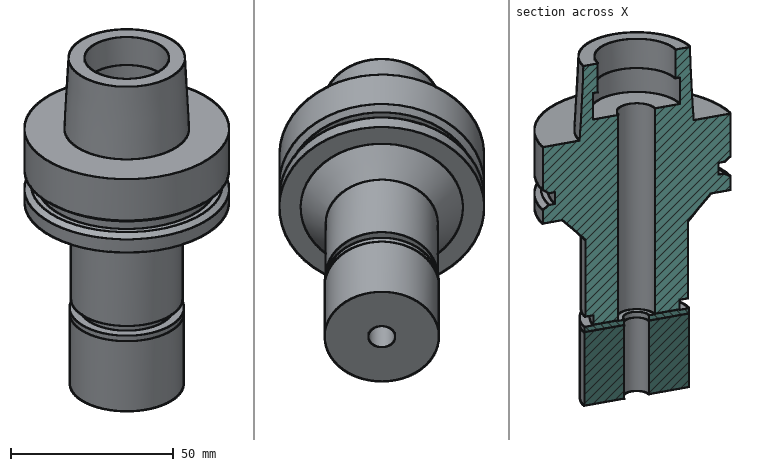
import cadquery as cq

TOTAL_HEIGHT = 115.0
FLANGE_TOP = 90.0
GROOVE_CHAMFER_TOP = 75.4
GROOVE_TOP = 74.0
GROOVE_BOTTOM = 70.2
GROOVE_CHAMFER_BOTTOM = 68.8
FLANGE_BOTTOM = 64.0
SHANK_TOP = 56.0
SHANK_BOTTOM = 30.0
RING_TOP = 26.8
NUT_TOP = 24.8

TAPER_TOP_RADIUS = 17.9
TAPER_BASE_RADIUS = 19.2
FLANGE_RADIUS = 31.5
GROOVE_LIP_RADIUS = 29.4
GROOVE_RADIUS = 27.5
CONE_TOP_RADIUS = 25.0
SHANK_RADIUS = 17.2
NECK_RADIUS = 14.5
NUT_RADIUS = 17.6

MOUTH_RADIUS = 13.0
MOUTH_DEPTH = 9.9
UNDERCUT_RADIUS = 14.5
UNDERCUT_DEPTH = 18.6
BORE_RADIUS = 6.1
TOOL_HOLE_RADIUS = 4.1


def make_holder():
    """Tapered shank, grooved flange and stepped neck with the bore turned out."""
    undercut_top = TOTAL_HEIGHT - MOUTH_DEPTH
    undercut_floor = TOTAL_HEIGHT - UNDERCUT_DEPTH
    profile = [
        (BORE_RADIUS, RING_TOP),
        (NECK_RADIUS, RING_TOP),
        (NECK_RADIUS, SHANK_BOTTOM),
        (SHANK_RADIUS, SHANK_BOTTOM),
        (SHANK_RADIUS, SHANK_TOP),
        (CONE_TOP_RADIUS, FLANGE_BOTTOM),
        (FLANGE_RADIUS, FLANGE_BOTTOM),
        (FLANGE_RADIUS, GROOVE_CHAMFER_BOTTOM),
        (GROOVE_LIP_RADIUS, GROOVE_BOTTOM),
        (GROOVE_RADIUS, GROOVE_BOTTOM),
        (GROOVE_RADIUS, GROOVE_TOP),
        (GROOVE_LIP_RADIUS, GROOVE_TOP),
        (FLANGE_RADIUS, GROOVE_CHAMFER_TOP),
        (FLANGE_RADIUS, FLANGE_TOP),
        (TAPER_BASE_RADIUS, FLANGE_TOP),
        (TAPER_TOP_RADIUS, TOTAL_HEIGHT),
        (MOUTH_RADIUS, TOTAL_HEIGHT),
        (MOUTH_RADIUS, undercut_top),
        (UNDERCUT_RADIUS, undercut_top),
        (UNDERCUT_RADIUS, undercut_floor),
        (BORE_RADIUS, undercut_floor),
    ]
    return cq.Workplane("XZ").polyline(profile).close().revolve(360, (0, 0), (0, 1))


def make_sleeve(bottom, top):
    """Plain sleeve around the tool hole, between two heights."""
    return (
        cq.Workplane("XY", origin=(0, 0, bottom))
        .circle(NUT_RADIUS)
        .circle(TOOL_HOLE_RADIUS)
        .extrude(top - bottom)
    )


holder = make_holder()
ring = make_sleeve(NUT_TOP, RING_TOP)
nut = make_sleeve(0, NUT_TOP)

result = cq.Compound.makeCompound([holder.val(), ring.val(), nut.val()])